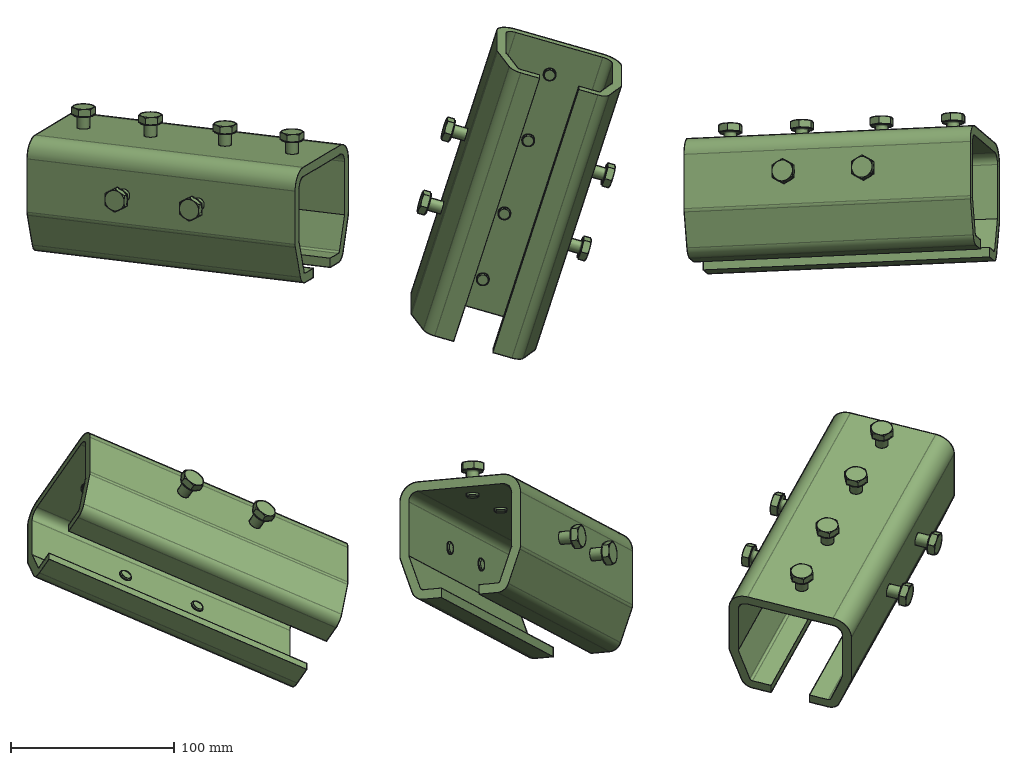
import cadquery as cq
import math

rail_length = 180.0
rail_width = 80.0
rail_height = 74.0
wall = 6.0
slot_width = 25.0
slope_angle = 20.0
side_bend_height = 27.0
top_bend_radius = 12.0
side_bend_radius = wall
lip_bend_radius = 7.7

screw_diameter = 8.0
tip_diameter = 6.7
tip_chamfer_length = 0.7
neck_fillet_radius = 0.4
shank_length = 16.0
head_across_flats = 13.0
head_height = 5.2
washer_face_height = 0.5
head_chamfer_angle = 30.0

inner_pitch = 50.0
outer_pitch = 140.0
side_screw_height = 46.3
overall_width = 107.6
overall_height = 87.3
middle_xs = [-inner_pitch / 2, inner_pitch / 2]
end_xs = [-outer_pitch / 2, outer_pitch / 2]


def make_prism(width, bottom, top, bend_height):
    """Bar along X with upright upper sides and lower sides that lean in towards the bottom."""
    half_top = width / 2
    half_bottom = half_top - (bend_height - bottom) * math.tan(math.radians(slope_angle))
    outline = [
        (-half_bottom, bottom),
        (half_bottom, bottom),
        (half_top, bend_height),
        (half_top, top),
        (-half_top, top),
        (-half_top, bend_height),
    ]
    return cq.Workplane("YZ").polyline(outline).close().extrude(rail_length / 2, both=True)


def make_rail_blank():
    """Bent channel without its screw holes, centred on X and Y and standing on Z = 0."""
    outer = make_prism(rail_width, 0, rail_height, side_bend_height)
    outer = outer.edges("|X and >Z").fillet(top_bend_radius)
    outer = outer.edges("|X and <Z").fillet(lip_bend_radius)
    side_corners = cq.selectors.BoxSelector(
        (-rail_length, -rail_width, side_bend_height - wall / 2),
        (rail_length, rail_width, side_bend_height + wall / 2),
    )
    outer = outer.edges("|X").edges(side_corners).fillet(side_bend_radius)

    inner_bend_height = side_bend_height + wall * math.tan(math.radians(slope_angle / 2))
    inner = make_prism(rail_width - 2 * wall, wall, rail_height - wall, inner_bend_height)
    inner = inner.edges("|X and >Z").fillet(top_bend_radius - wall)
    inner = inner.edges("|X and <Z").fillet(lip_bend_radius - wall)

    slot = cq.Workplane("XY").box(rail_length, slot_width, 2 * wall)
    return outer.cut(inner).cut(slot)


def make_screw():
    """Screw with its axis along Z, head upward, underside of the head at Z = 0."""
    tip_chamfer_depth = (screw_diameter - tip_diameter) / 2
    shank = cq.Workplane("XY").circle(screw_diameter / 2).extrude(-shank_length)
    shank = shank.faces("<Z").chamfer(tip_chamfer_length, tip_chamfer_depth)
    washer_face = cq.Workplane("XY").circle(head_across_flats / 2).extrude(washer_face_height)

    across_corners = head_across_flats / math.cos(math.pi / 6)
    head = (
        cq.Workplane("XY")
        .workplane(offset=washer_face_height)
        .polygon(6, across_corners)
        .extrude(head_height - washer_face_height)
    )
    cone_slope = math.tan(math.radians(head_chamfer_angle))
    rim_drop = (across_corners - head_across_flats) / 2 * cone_slope
    chamfer_envelope = (
        cq.Workplane("XZ")
        .polyline([
            (0, 0),
            (across_corners / 2, 0),
            (across_corners / 2, head_height - rim_drop),
            (head_across_flats / 2, head_height),
            (0, head_height),
        ])
        .close()
        .revolve(360, (0, 0), (0, 1))
    )
    head = head.intersect(chamfer_envelope)
    screw = shank.union(washer_face).union(head)

    underside = screw.faces(cq.selectors.NearestToPointSelector((0, 0, 0)))
    neck = underside.edges(cq.selectors.RadiusNthSelector(0))
    return neck.fillet(neck_fillet_radius)


def place_screws():
    """Four screws down through the top and two in through each side, heads outward."""
    seated_top = overall_height - head_height
    seated_side = overall_width / 2 - head_height
    screw = make_screw().rotate((0, 0, 0), (0, 0, 1), 90)
    screws = [screw.translate((x, 0, seated_top)) for x in middle_xs + end_xs]
    for side in (-1, 1):
        side_screw = screw.rotate((0, 0, 0), (1, 0, 0), -90 * side)
        for x in middle_xs:
            screws.append(side_screw.translate((x, side * seated_side, side_screw_height)))
    return screws


def drill_screw_holes(blank):
    """Bore a hole of the shank's diameter through the wall at each screw."""
    top_holes = (
        cq.Workplane("XY")
        .workplane(offset=rail_height - 2 * wall)
        .pushPoints([(x, 0) for x in middle_xs + end_xs])
        .circle(screw_diameter / 2)
        .extrude(3 * wall)
    )
    side_holes = (
        cq.Workplane("XZ")
        .pushPoints([(x, side_screw_height) for x in middle_xs])
        .circle(screw_diameter / 2)
        .extrude(rail_width, both=True)
    )
    return blank.cut(top_holes).cut(side_holes)


rail = drill_screw_holes(make_rail_blank())
screws = place_screws()

result = cq.Compound.makeCompound([rail.val()] + [screw.val() for screw in screws])